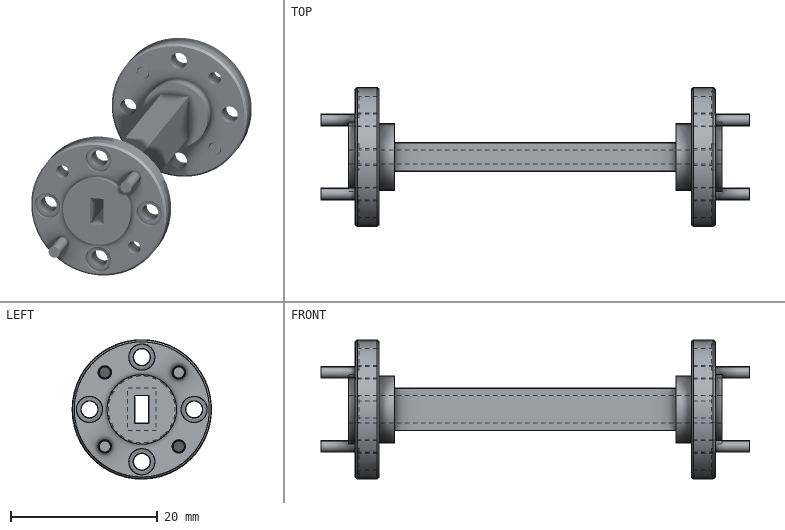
import cadquery as cq
import math

pin_tip_x = 29.3
pin_projection = 4.7
flange_thickness = 3.3
boss_height = 0.95
hub_length = 2.1

flange_diameter = 19.0
flange_chamfer = 0.3
boss_diameter = 9.5
hub_diameter = 9.15

bore_width = 1.9
bore_height = 3.75
tube_wall = 1.025

pitch_circle_diameter = 14.3
screw_hole_diameter = 2.3
counterbore_diameter = 3.6
counterbore_depth = 0.5
pin_hole_diameter = 1.75
pin_diameter = 1.6

screw_angles = [0, 90, 180, 270]
pin_hole_angles = [45, 135, 225, 315]
left_pin_angles = [135, 315]
right_pin_angles = [45, 225]

flange_face_x = pin_tip_x - pin_projection
flange_back_x = flange_face_x - flange_thickness
boss_face_x = flange_face_x + boss_height
hub_end_x = flange_back_x - hub_length
pin_length = pin_projection + flange_thickness


def pitch_points(angles):
    """(Y, Z) positions on the pitch circle."""
    radius = pitch_circle_diameter / 2
    return [
        (radius * math.cos(math.radians(a)), radius * math.sin(math.radians(a)))
        for a in angles
    ]


def cylinders(diameter, start_x, end_x, points):
    """Cylinders along X from start_x to end_x, centred on the (Y, Z) points."""
    plane = cq.Workplane("YZ", origin=(start_x, 0, 0))
    return plane.pushPoints(points).circle(diameter / 2).extrude(end_x - start_x)


def make_right_flange():
    """Flange at the +X end with its boss, hub, screw holes and pin holes."""
    centre = [(0, 0)]
    disc = cylinders(flange_diameter, flange_back_x, flange_face_x, centre)
    flange = (
        disc.edges().chamfer(flange_chamfer)
        .union(cylinders(boss_diameter, flange_back_x, boss_face_x, centre))
        .union(cylinders(hub_diameter, hub_end_x, flange_face_x, centre))
    )
    screw_points = pitch_points(screw_angles)
    pin_points = pitch_points(pin_hole_angles)
    counterbore_floor_x = flange_face_x - counterbore_depth
    return (
        flange
        .cut(cylinders(screw_hole_diameter, flange_back_x, flange_face_x, screw_points))
        .cut(cylinders(counterbore_diameter, counterbore_floor_x, flange_face_x, screw_points))
        .cut(cylinders(pin_hole_diameter, flange_back_x, flange_face_x, pin_points))
    )


def make_waveguide():
    """Tube with a flange at each end and a bore right through."""
    right_flange = make_right_flange()
    left_flange = right_flange.mirror("YZ")
    tube = cq.Workplane("XY").box(
        2 * hub_end_x, bore_width + 2 * tube_wall, bore_height + 2 * tube_wall
    )
    bore = cq.Workplane("XY").box(2 * boss_face_x, bore_width, bore_height)
    return tube.union(right_flange).union(left_flange).cut(bore)


def make_pin(start_x, point):
    """Dowel pin along X, standing in its flange hole and out of the face."""
    return cylinders(pin_diameter, start_x, start_x + pin_length, [point])


waveguide = make_waveguide()

pins = []
for start_x, angles in [(-pin_tip_x, left_pin_angles), (flange_back_x, right_pin_angles)]:
    for point in pitch_points(angles):
        pins.append(make_pin(start_x, point))

result = cq.Compound.makeCompound([waveguide.val()] + [pin.val() for pin in pins])